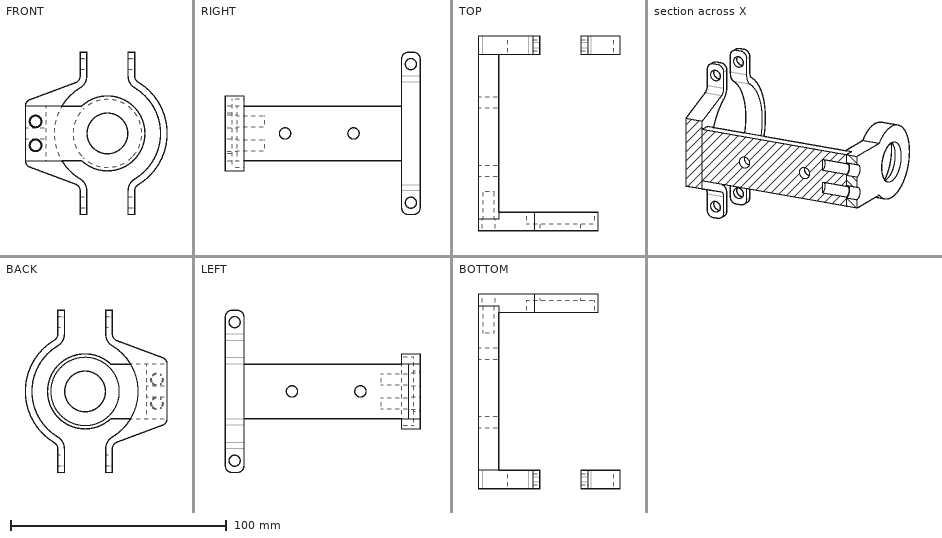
import cadquery as cq
import math


bar_length = 76.2
bar_thickness = 9.525
bar_height = 25.4
mount_hole_dia = 5.16
mount_hole_spacing = 31.75

bolt_spacing = 11.1125
bolt_clearance_dia = 5.87
bolt_tap_dia = 5.0
bolt_tap_depth = 12.7

arm_thickness = 8.73125
rabbet_depth = 3.175
ring_outer_radius = 17.4625
ring_bore_dia = 18.8
ring_lip_length = 3.175
ring_recess_dia = 31.75

strap_thickness = 3.175
strap_width = 8.73125
clamp_inner_radius = 24.605
clamp_gap = 19.05
clamp_height = 75.38
bend_radius = 3.175
block_corner_radius = 3.175
tab_corner_radius = 3.175
tab_hole_dia = 5.08
tab_hole_from_end = 5.55625

back_x = -38.1
bar_center_x = back_x + bar_thickness / 2
bar_end_y = -bar_length / 2
clamp_face_y = bar_length / 2
clamp_outer_y = clamp_face_y + strap_width
arm_face_y = bar_end_y - (arm_thickness - rabbet_depth)
tab_inner_x = clamp_gap / 2
tab_outer_x = tab_inner_x + strap_thickness
tab_end_z = clamp_height / 2
clamp_outer_radius = clamp_inner_radius + strap_thickness

bend_x = tab_outer_x + bend_radius
bend_z = math.sqrt((clamp_outer_radius + bend_radius) ** 2 - bend_x ** 2)
bend_outer_radius = bend_radius + strap_thickness
bend_arc_angle = math.atan2(bend_z, bend_x)


def polar(center_x, center_z, radius, angle):
    """Point on a circle in the XZ plane."""
    return (center_x + radius * math.cos(angle), center_z + radius * math.sin(angle))


def mirror_z(point):
    return (point[0], -point[1])


def mirror_x(point):
    return (-point[0], point[1])


def extrude_along_y(outline, near_y, far_y):
    """Extrude an XZ outline from near_y to far_y."""
    solid = outline.extrude(-(far_y - near_y))
    return solid.translate((0, near_y, 0))


def bolt_holes(diameter, near_y, depth):
    points = [(bar_center_x, side * bolt_spacing / 2) for side in (-1, 1)]
    return extrude_along_y(cq.Workplane("XZ").pushPoints(points).circle(diameter / 2), near_y, near_y + depth)


def bend_mid(radius, end_angle):
    """Middle of a bend arc that runs from the tab face (pointing -X) to end_angle."""
    return polar(bend_x, bend_z, radius, (math.pi + end_angle) / 2)


bend_end_angle = bend_arc_angle + math.pi
inner_bend_start = (tab_inner_x, bend_z)
inner_bend_mid = bend_mid(bend_outer_radius, bend_end_angle)
inner_bend_end = polar(0, 0, clamp_inner_radius, bend_arc_angle)
outer_bend_start = (tab_outer_x, bend_z)
outer_bend_mid = bend_mid(bend_radius, bend_end_angle)
outer_bend_end = polar(0, 0, clamp_outer_radius, bend_arc_angle)


def finish_tabs(clamp, side):
    """Round the tab ends and drill the tab holes; side is the sign of X."""
    clamp = clamp.edges("|X").edges(">Z or <Z").fillet(tab_corner_radius)
    hole_z = tab_end_z - tab_hole_from_end
    holes = (
        cq.Workplane("YZ")
        .pushPoints([(clamp_face_y + strap_width / 2, end * hole_z) for end in (-1, 1)])
        .circle(tab_hole_dia / 2)
        .extrude(side * tab_outer_x)
    )
    return clamp.cut(holes)


def make_strap_clamp():
    """Free clamp half: a bent strap of constant thickness."""
    outline = (
        cq.Workplane("XZ")
        .moveTo(tab_inner_x, tab_end_z)
        .lineTo(*inner_bend_start)
        .threePointArc(inner_bend_mid, inner_bend_end)
        .threePointArc((clamp_inner_radius, 0), mirror_z(inner_bend_end))
        .threePointArc(mirror_z(inner_bend_mid), mirror_z(inner_bend_start))
        .lineTo(tab_inner_x, -tab_end_z)
        .lineTo(tab_outer_x, -tab_end_z)
        .lineTo(*mirror_z(outer_bend_start))
        .threePointArc(mirror_z(outer_bend_mid), mirror_z(outer_bend_end))
        .threePointArc((clamp_outer_radius, 0), outer_bend_end)
        .threePointArc(outer_bend_mid, outer_bend_start)
        .lineTo(tab_outer_x, tab_end_z)
        .close()
    )
    return finish_tabs(extrude_along_y(outline, clamp_face_y, clamp_outer_y), 1)


def make_block_clamp():
    """Fixed clamp half: the same bore and tabs, backed by a tapered block on the bar's end."""
    corner_x = -back_x - block_corner_radius
    corner_z = bar_height / 2
    run = corner_x - bend_x
    rise = bend_z - corner_z
    slope = math.atan2(rise, run) - math.asin((bend_radius + block_corner_radius) / math.hypot(run, rise))
    slope_normal = math.pi / 2 - slope
    bend_end = polar(bend_x, bend_z, bend_radius, slope_normal + math.pi)
    bend_middle = bend_mid(bend_radius, slope_normal + math.pi)
    corner_start = polar(corner_x, corner_z, block_corner_radius, slope_normal)
    corner_mid = polar(corner_x, corner_z, block_corner_radius, slope_normal / 2)
    corner_end = (-back_x, corner_z)

    upper_side = [outer_bend_start, bend_middle, bend_end, corner_start, corner_mid, corner_end]
    upper = [mirror_x(point) for point in upper_side]
    lower = [mirror_z(point) for point in upper]
    bore_start, bore_mid, bore_end = [
        mirror_x(point) for point in (inner_bend_start, inner_bend_mid, inner_bend_end)
    ]
    outline = (
        cq.Workplane("XZ")
        .moveTo(-tab_outer_x, tab_end_z)
        .lineTo(*upper[0])
        .threePointArc(upper[1], upper[2])
        .lineTo(*upper[3])
        .threePointArc(upper[4], upper[5])
        .lineTo(*lower[5])
        .threePointArc(lower[4], lower[3])
        .lineTo(*lower[2])
        .threePointArc(lower[1], lower[0])
        .lineTo(-tab_outer_x, -tab_end_z)
        .lineTo(-tab_inner_x, -tab_end_z)
        .lineTo(*mirror_z(bore_start))
        .threePointArc(mirror_z(bore_mid), mirror_z(bore_end))
        .threePointArc((-clamp_inner_radius, 0), bore_end)
        .threePointArc(bore_mid, bore_start)
        .lineTo(-tab_inner_x, tab_end_z)
        .close()
    )
    return finish_tabs(extrude_along_y(outline, clamp_face_y, clamp_outer_y), -1)


def make_bar():
    """Rectangular bar with cross holes along X and tapped holes in its -Y end."""
    bar = cq.Workplane("XY").box(bar_thickness, bar_length, bar_height).translate((bar_center_x, 0, 0))
    mount_holes = (
        cq.Workplane("YZ", origin=(back_x, 0, 0))
        .pushPoints([(side * mount_hole_spacing / 2, 0) for side in (-1, 1)])
        .circle(mount_hole_dia / 2)
        .extrude(bar_thickness)
    )
    return bar.cut(mount_holes).cut(bolt_holes(bolt_tap_dia, bar_end_y, bolt_tap_depth))


def make_ring_arm():
    """Flat arm ending in a ring recessed on its +Y face, rabbeted to receive the end of the bar."""
    inner_y = arm_face_y + arm_thickness
    shank_outline = cq.Workplane("XZ").center(back_x / 2, 0).rect(-back_x, bar_height)
    shank = extrude_along_y(shank_outline, arm_face_y, inner_y)
    ring = extrude_along_y(cq.Workplane("XZ").circle(ring_outer_radius), arm_face_y, inner_y)
    bore = extrude_along_y(cq.Workplane("XZ").circle(ring_bore_dia / 2), arm_face_y, inner_y)
    recess_outline = cq.Workplane("XZ").circle(ring_recess_dia / 2)
    recess = extrude_along_y(recess_outline, arm_face_y + ring_lip_length, inner_y)
    rabbet_outline = cq.Workplane("XZ").center(bar_center_x, 0).rect(bar_thickness, bar_height)
    rabbet = extrude_along_y(rabbet_outline, bar_end_y, inner_y)
    bolts = bolt_holes(bolt_clearance_dia, arm_face_y, arm_thickness)
    return shank.union(ring).cut(bore).cut(recess).cut(rabbet).cut(bolts)


block_clamp = make_block_clamp()
strap_clamp = make_strap_clamp()
bar = make_bar()
ring_arm = make_ring_arm()

result = cq.Compound.makeCompound([block_clamp.val(), strap_clamp.val(), bar.val(), ring_arm.val()])